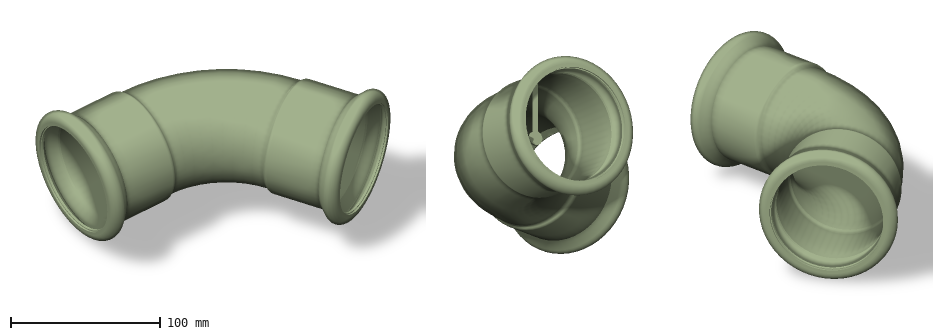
import cadquery as cq
import math

bend_angle = 60.0
bend_radius = 94.5
leg_length = 58.3

pipe_outer_radius = 76.0 / 2
pipe_bore_radius = 73.1 / 2
socket_outer_radius = 80.6 / 2
socket_bore_radius = 75.0 / 2
shoulder_length = 5.0
socket_end = leg_length - shoulder_length

bead_radius = 5.73
bead_centre_radius = 41.7
flare_end = 15.6
mouth_radius = 78.1 / 2
lip_depth = 1.3
groove_radius = 43.8
groove_front_depth = 3.8
groove_cone_start = 7.7
groove_cone_end = 14.5
groove_exit_radius = 76.0 / 2
lead_in_end = 15.8

seal_front_radius = 76.7 / 2
seal_bore_radius = 76.0 / 2
seal_edge_depth = 2.7
seal_back_depth = 7.3

stop_disc_radius = 4.8
stop_stem_width = 3.1
stop_thickness = 2.0
stop_root = 0.8


def revolve_about_y(profile):
    return profile.close().revolve(360, (0, 0, 0), (0, 1, 0))


def midpoint(start, end):
    return ((start[0] + end[0]) / 2, (start[1] + end[1]) / 2)


def flare_tangent_point():
    """Point where the straight flare touches the round bead."""
    radial = socket_outer_radius - bead_centre_radius
    axial = flare_end - bead_radius
    angle = math.atan2(axial, radial) - math.acos(bead_radius / math.hypot(radial, axial))
    return (
        bead_centre_radius + bead_radius * math.cos(angle),
        bead_radius + bead_radius * math.sin(angle),
    )


def shouldered_core(socket_radius, pipe_radius):
    """Plain round core: socket radius, S-shaped shoulder, pipe radius."""
    shoulder_start = (socket_radius, socket_end)
    shoulder_end = (pipe_radius, leg_length)
    profile = (
        cq.Workplane("XY")
        .lineTo(socket_radius, 0)
        .lineTo(*shoulder_start)
        .tangentArcPoint(midpoint(shoulder_start, shoulder_end), relative=False)
        .tangentArcPoint(shoulder_end, relative=False)
        .lineTo(0, leg_length)
    )
    return revolve_about_y(profile)


def make_rim():
    """Flare and round bead around the mouth, solid to the axis."""
    profile = (
        cq.Workplane("XY")
        .lineTo(bead_centre_radius, 0)
        .threePointArc((bead_centre_radius + bead_radius, bead_radius), flare_tangent_point())
        .lineTo(socket_outer_radius, flare_end)
        .lineTo(0, flare_end)
    )
    return revolve_about_y(profile)


def make_mouth_cut():
    """Mouth opening and seal groove, which narrows to the socket bore."""
    profile = (
        cq.Workplane("XY")
        .lineTo(mouth_radius, 0)
        .lineTo(mouth_radius, lip_depth)
        .lineTo(groove_radius, groove_front_depth)
        .lineTo(groove_radius, groove_cone_start)
        .lineTo(groove_exit_radius, groove_cone_end)
        .lineTo(socket_bore_radius, lead_in_end)
        .lineTo(0, lead_in_end)
    )
    return revolve_about_y(profile)


def make_socket():
    """Socket with its mouth centred on the origin, opening towards -Y."""
    outside = shouldered_core(socket_outer_radius, pipe_outer_radius).union(make_rim())
    inside = shouldered_core(socket_bore_radius, pipe_bore_radius)
    return outside.cut(inside).cut(make_mouth_cut())


def make_bend():
    """Curved pipe from the end of the inlet socket to the start of the outlet socket."""
    return (
        cq.Workplane("XZ", origin=(0, leg_length, 0))
        .circle(pipe_outer_radius)
        .circle(pipe_bore_radius)
        .revolve(bend_angle, (bend_radius, 2, 0), (bend_radius, 0, 0))
    )


def make_stop():
    """Flat disc on the inlet axis with a stem up to the socket wall."""
    plane = cq.Workplane("XZ", origin=(0, socket_end, 0))
    stem_length = socket_bore_radius + stop_root
    disc = plane.circle(stop_disc_radius).extrude(stop_thickness)
    stem = (
        plane.center(0, stem_length / 2)
        .rect(stop_stem_width, stem_length)
        .extrude(stop_thickness)
    )
    return disc.union(stem)


def make_seal():
    """Seal ring that sits in the groove against the lip."""
    profile = (
        cq.Workplane("XY")
        .moveTo(seal_front_radius, lip_depth)
        .lineTo(mouth_radius, lip_depth)
        .lineTo(groove_radius, groove_front_depth)
        .lineTo(groove_radius, seal_back_depth)
        .lineTo(seal_bore_radius, seal_edge_depth)
    )
    return revolve_about_y(profile)


def at_outlet(body):
    """Move a body from the inlet mouth to the outlet mouth."""
    angle = math.radians(bend_angle)
    outlet_x = bend_radius * (1 - math.cos(angle)) + leg_length * math.sin(angle)
    outlet_y = leg_length + bend_radius * math.sin(angle) + leg_length * math.cos(angle)
    return body.rotate((0, 0, 0), (0, 0, 1), 180 - bend_angle).translate((outlet_x, outlet_y, 0))


inlet_socket = make_socket()
inlet_seal = make_seal()

elbow = make_bend().union(make_stop()).union(inlet_socket).union(at_outlet(inlet_socket))
seals = [inlet_seal, at_outlet(inlet_seal)]

result = cq.Compound.makeCompound([elbow.val(), *[seal.val() for seal in seals]])